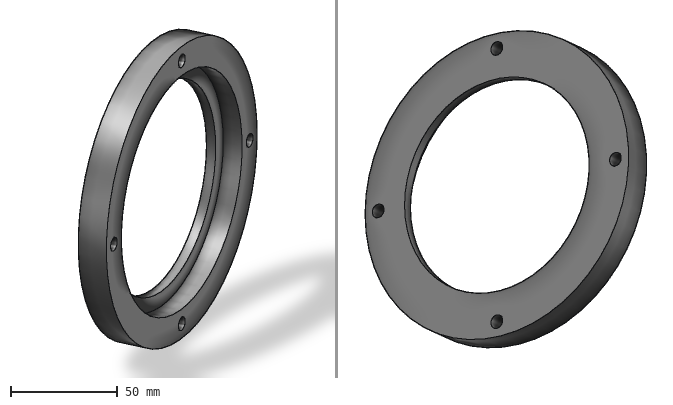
import cadquery as cq

outer_diameter = 150.0
thickness = 15.0
bore_diameter = 105.0

recess_diameter = 120.0
lip_thickness = 5.0
recess_depth = thickness - lip_thickness

bolt_circle_diameter = 135.0
bolt_hole_diameter = 6.6
bolt_count = 4


def disc(diameter, length, start=0.0):
    """Cylinder along +X beginning at the given X position."""
    return cq.Workplane("YZ").workplane(offset=start).circle(diameter / 2).extrude(length)


ring = disc(outer_diameter, thickness).cut(disc(bore_diameter, thickness))
ring = ring.cut(disc(recess_diameter, recess_depth, lip_thickness))

bolt_holes = (
    cq.Workplane("YZ")
    .polarArray(bolt_circle_diameter / 2, 0, 360, bolt_count)
    .circle(bolt_hole_diameter / 2)
    .extrude(thickness)
)

result = ring.cut(bolt_holes)